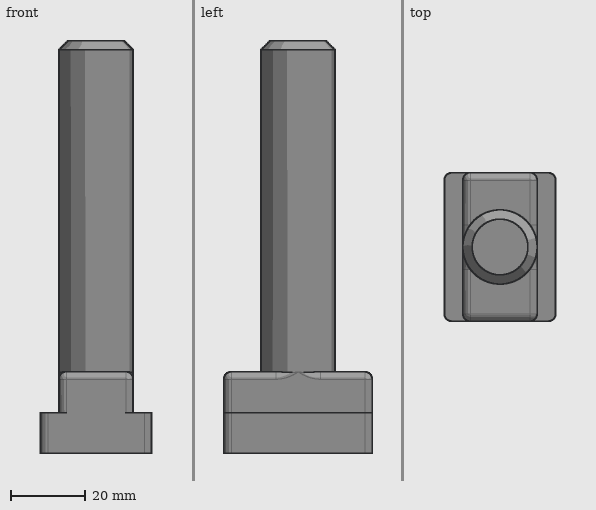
import cadquery as cq
import math

total_height = 111.0
base_width = 30.0
length = 40.0
base_height = 11.0

shaft_diameter = 20.0
shaft_radius = shaft_diameter / 2
neck_width = shaft_diameter
head_height = 2 * base_height
edge_radius = 2.0
shaft_chamfer = shaft_diameter / 8

runout_x = neck_width / 2 - edge_radius
runout_y = math.sqrt(shaft_radius**2 - runout_x**2)


def make_block(width, height):
    """Block standing on the XY plane with rounded vertical corners."""
    block = cq.Workplane("XY").box(width, length, height, centered=(True, True, False))
    return block.edges("|Z").fillet(edge_radius)


def make_shaft():
    """Round shaft with a chamfered tip."""
    shaft = cq.Workplane("XY").circle(shaft_radius).extrude(total_height)
    return shaft.faces(">Z").chamfer(shaft_chamfer)


def make_runout():
    """Part of the +X rim, at +Y, where the round fades to a sharp edge at the middle of the side."""
    side_x = neck_width / 2
    fade_z = head_height - edge_radius
    stem_depth = 2 * edge_radius
    diagonal = edge_radius * math.sqrt(0.5)

    section = (
        cq.Workplane("XZ", origin=(0, runout_y, 0))
        .moveTo(runout_x, head_height)
        .threePointArc((runout_x + diagonal, fade_z + diagonal), (side_x, fade_z))
        .lineTo(side_x, fade_z - stem_depth)
        .lineTo(runout_x, fade_z - stem_depth)
        .close()
    )
    start = cq.Vector(side_x, runout_y, fade_z)
    control = cq.Vector(side_x, runout_y / 2, fade_z)
    tip = cq.Vector(side_x, 0, head_height)
    lower_edge = cq.Workplane(cq.Edge.makeBezier([start, control, tip]))
    risen = section.sweep(lower_edge)

    below_top = cq.Workplane("XY").box(base_width, length, head_height, centered=(True, True, False))
    return risen.intersect(below_top)


def make_neck():
    """Guide block with a rounded top rim that runs out beside the shaft."""
    neck = make_block(neck_width, head_height).faces(">Z").edges().fillet(edge_radius)
    runout = make_runout()
    for side_runout in (runout, runout.mirror("YZ")):
        neck = neck.union(side_runout).union(side_runout.mirror("XZ"))
    return neck


result = make_block(base_width, base_height).union(make_neck()).union(make_shaft())